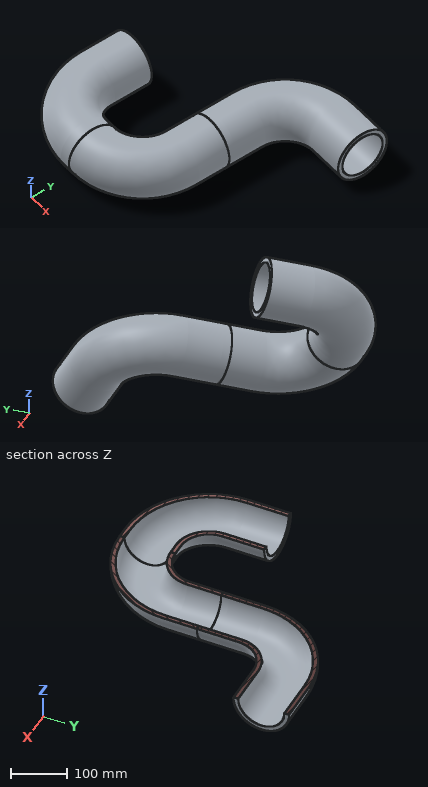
import cadquery as cq
import math

pipe_od = 110.0
pipe_bore = 90.0
bend_radius = pipe_od

leg = 82.5
riser_joint = 15.5
riser_leg = leg - riser_joint
trap_stub = 1.0
trap_joint = 21.5

trap_straight = trap_joint + 2 * trap_stub
inlet_x = 0
riser_x = inlet_x + 2 * bend_radius + trap_straight
inlet_y = bend_radius + leg
trap_seam_x = riser_x - bend_radius - trap_stub
riser_seam_y = bend_radius + riser_leg


def pipe_centreline(start, heading, inlet_lengths, turn, outlet_lengths):
    """Return the edges of straight runs, a quarter bend, then more straight runs.

    heading is in degrees from +X; turn is +1 for a left bend and -1 for a right bend.
    """
    position = cq.Vector(*start)
    edges = []

    def direction(angle):
        return cq.Vector(math.cos(math.radians(angle)), math.sin(math.radians(angle)), 0)

    def add_straights(position, angle, lengths):
        for length in lengths:
            end = position + direction(angle) * length
            edges.append(cq.Edge.makeLine(position, end))
            position = end
        return position

    position = add_straights(position, heading, inlet_lengths)
    center = position + direction(heading + 90 * turn) * bend_radius
    middle = center - direction(heading + 135 * turn) * bend_radius
    end = center + direction(heading) * bend_radius
    edges.append(cq.Edge.makeThreePointArc(position, middle, end))
    add_straights(end, heading + 90 * turn, outlet_lengths)
    return edges


def make_elbow(start, heading, inlet_lengths, turn, outlet_lengths):
    """Sweep a pipe section run by run, keeping the joint-band edges on its surface."""
    runs = []
    for edge in pipe_centreline(start, heading, inlet_lengths, turn, outlet_lengths):
        section = cq.Plane(origin=edge.startPoint(), xDir=(0, 0, 1), normal=edge.tangentAt(0))
        ring = cq.Workplane(section).circle(pipe_od / 2).circle(pipe_bore / 2)
        runs.append(ring.sweep(cq.Workplane(cq.Wire.assembleEdges([edge]))))

    elbow = runs[0]
    for run in runs[1:]:
        elbow = elbow.union(run, clean=False)
    return elbow.solids().val()


inlet_elbow = make_elbow((inlet_x, inlet_y), -90, [leg], 1, [trap_stub, trap_joint])

trap_elbow = make_elbow((trap_seam_x, 0), 0, [trap_stub], 1, [riser_leg])

top_elbow = make_elbow((riser_x, riser_seam_y), 90, [riser_joint, riser_leg], -1, [leg])

result = cq.Compound.makeCompound([inlet_elbow, trap_elbow, top_elbow])